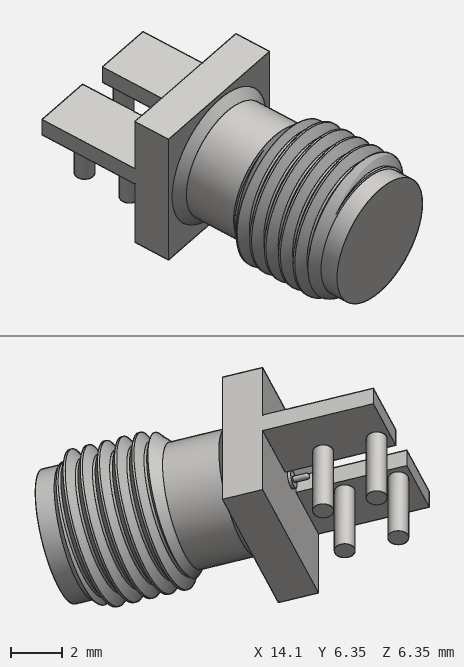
import cadquery as cq
import math


flange_size = 6.35
flange_thickness = 1.65

tab_length = 4.55
tab_thickness = 0.81
tab_top = 0.70
tab_gap = 1.24
tab_bottom = tab_top - tab_thickness
tab_width = (flange_size - tab_gap) / 2

pin_diameter = 0.81
pin_pitch_x = 2.20
pin_pitch_y = 2.45
outer_pin_inset = 0.57
pin_end = -flange_size / 2

contact_diameter = 0.25
contact_length = 0.775
contact_tip_rounding = 0.12
insulator_diameter = 0.71
insulator_thickness = 0.13

overall_length = 14.07
barrel_end = overall_length - tab_length
neck_radius = 5.08 / 2
nose_radius = 5.38 / 2
nose_length = 0.78
collar_length = 0.38
collar_radius = 2.95
thread_start = 4.34
thread_end = barrel_end - nose_length

inch = 25.4
thread_radius = inch / 4 / 2
thread_pitch = inch / 36
thread_depth = 0.44
groove_phase = 5.853
flank_half_angle = math.radians(30)
crest_width = thread_pitch / 8
cutter_overshoot = 0.03


def make_flange():
    return cq.Workplane("YZ").rect(flange_size, flange_size).extrude(flange_thickness)


def make_tab(side):
    center_y = side * (tab_gap + tab_width) / 2
    return (
        cq.Workplane("XY", origin=(-tab_length / 2, center_y, tab_bottom))
        .rect(tab_length, tab_width)
        .extrude(tab_thickness)
    )


def make_pins():
    outer_x = -tab_length + outer_pin_inset
    positions = []
    for x in (outer_x, outer_x + pin_pitch_x):
        for side in (-1, 1):
            positions.append((x, side * pin_pitch_y / 2))
    return (
        cq.Workplane("XY", origin=(0, 0, pin_end))
        .pushPoints(positions)
        .circle(pin_diameter / 2)
        .extrude(tab_bottom - pin_end)
    )


def make_contact():
    contact = (
        cq.Workplane("YZ")
        .circle(contact_diameter / 2)
        .extrude(-contact_length)
        .faces("<X")
        .edges()
        .fillet(contact_tip_rounding)
    )
    insulator = cq.Workplane("YZ").circle(insulator_diameter / 2).extrude(-insulator_thickness)
    return contact.union(insulator)


def make_barrel_blank():
    """Turned barrel: conical collar, neck, bevelled thread land and nose."""
    start_bevel = thread_radius - neck_radius
    end_bevel = thread_radius - nose_radius
    profile = [
        (flange_thickness, 0),
        (flange_thickness, collar_radius),
        (flange_thickness + collar_length, neck_radius),
        (thread_start, neck_radius),
        (thread_start + start_bevel, thread_radius),
        (thread_end - end_bevel, thread_radius),
        (thread_end, nose_radius),
        (barrel_end, nose_radius),
        (barrel_end, 0),
    ]
    return cq.Workplane("XY").polyline(profile).close().revolve(360, (0, 0, 0), (1, 0, 0))


def make_groove_turn():
    """Cutter for one turn of the thread groove, starting on the +Z side at X = 0."""
    root_radius = thread_radius - thread_depth
    outer_radius = thread_radius + cutter_overshoot
    half_mouth = (thread_pitch - crest_width) / 2
    half_root = half_mouth - thread_depth * math.tan(flank_half_angle)
    half_outer = half_mouth + cutter_overshoot * math.tan(flank_half_angle)

    helix = cq.Wire.makeHelix(thread_pitch, thread_pitch, root_radius)
    section = [
        (root_radius, -half_root),
        (outer_radius, -half_outer),
        (outer_radius, half_outer),
        (root_radius, half_root),
    ]
    cutter = cq.Workplane("XZ").polyline(section).close().sweep(cq.Workplane(helix), isFrenet=True)
    return cutter.rotate((0, 0, 0), (0, 1, 0), 90).rotate((0, 0, 0), (1, 0, 0), 180)


def make_barrel():
    """Barrel blank with the groove cut turn by turn until it runs out through both bevels."""
    barrel = make_barrel_blank()
    groove_turn = make_groove_turn()
    first_turn = math.floor((thread_start - groove_phase) / thread_pitch)
    end_turn = math.ceil((thread_end - groove_phase) / thread_pitch)
    for turn in range(first_turn, end_turn):
        barrel = barrel.cut(groove_turn.translate((groove_phase + turn * thread_pitch, 0, 0)))
    return barrel


result = make_flange().union(make_barrel())
for tab_side in (-1, 1):
    result = result.union(make_tab(tab_side))
result = result.union(make_pins()).union(make_contact())